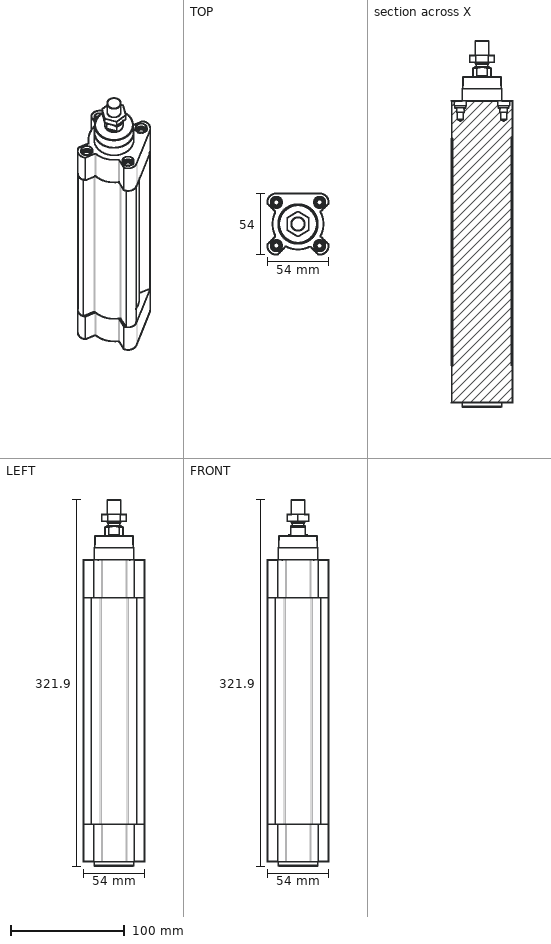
import cadquery as cq
import math

total_height = 321.9
spigot_height = 4.0
cap_height = 33.0
tube_height = 199.0
tube_bottom = spigot_height + cap_height
tube_top = tube_bottom + tube_height
body_top = tube_top + cap_height

body_width = 54.0
screw_pitch = 38.0
barrel_radius = 22.5
corner_center = screw_pitch / 2
corner_radius = (body_width - screw_pitch) / 2
cap_lobe_width = 12.8
tube_lobe_width = 9.9
tube_inset = 0.15
root_fillet = 0.8

spigot_diameter = 35.0
spigot_chamfer = 0.8
collar_lower_height = 10.8
collar_upper_height = 10.3
collar_upper_base_diameter = 34.2
collar_upper_top_diameter = 33.6
collar_edge_chamfer = 0.4
collar_step = body_top + collar_lower_height
collar_top = collar_step + collar_upper_height

counterbore_diameter = 10.2
counterbore_depth = 4.0
seat_diameter = 9.0
seat_depth = 6.0
socket_diameter = 6.0
socket_depth = 10.0
core_diameter = 4.92
core_depth = 16.0
drill_tip_angle = 118.0

rod_diameter = 16.0
rod_flat_width = 13.0
rod_collar_height = 1.2
thread_diameter = 12.0
thread_end_chamfer = 0.3
thread_length = 19.8
threaded_end_length = 24.2
neck_diameter = 10.2
neck_taper_height = 1.0
shoulder_height = 1.4
shoulder_top_diameter = 11.45
rod_bottom = tube_top
thread_bottom = total_height - thread_length
shoulder_bottom = total_height - threaded_end_length
neck_bottom = shoulder_bottom + shoulder_height
flat_bottom = collar_top + rod_collar_height

nut_across_flats = 19.0
nut_height = 6.0
nut_to_rod_end = 12.9
nut_top = total_height - nut_to_rod_end
nut_bottom = nut_top - nut_height


def cylinder(diameter, bottom, height):
    return cq.Workplane("XY").workplane(offset=bottom).circle(diameter / 2).extrude(height)


def box_along(angle, length, width, bottom, height):
    """Rectangular bar centred on the axis, its length turned by the angle."""
    bar = cq.Workplane("XY").workplane(offset=bottom).rect(length, width).extrude(height)
    return bar.rotate((0, 0, 0), (0, 0, 1), angle)


def lobed_section(radius, lobe_radius, lobe_width, bottom, height):
    """Round barrel with four diagonal lobes that end in round corners."""
    section = cylinder(2 * radius, bottom, height)
    lobe_ends = (
        cq.Workplane("XY").workplane(offset=bottom)
        .rect(screw_pitch, screw_pitch, forConstruction=True).vertices()
        .circle(lobe_radius).extrude(height)
    )
    center_distance = corner_center * math.sqrt(2)
    for angle in (45, 135):
        inner_bar = box_along(angle, 2 * center_distance, lobe_width, bottom, height)
        full_bar = box_along(angle, 2 * (center_distance + lobe_radius), lobe_width, bottom, height)
        section = section.union(inner_bar).union(full_bar.intersect(lobe_ends))
    root_edges = [
        edge for edge in section.edges("|Z").vals()
        if math.hypot(edge.Center().x, edge.Center().y) < radius + root_fillet
    ]
    return section.newObject(root_edges).fillet(root_fillet)


def end_cap(bottom):
    """Lobed cap whose +Y side is filled out to a flat face."""
    cap = lobed_section(barrel_radius, corner_radius, cap_lobe_width, bottom, cap_height)
    flat_side = (
        cq.Workplane("XY").workplane(offset=bottom)
        .center(0, body_width / 4).rect(screw_pitch, body_width / 2).extrude(cap_height)
    )
    return cap.union(flat_side)


def screw_hole():
    """Stepped blind hole with a conical drill tip, opening upward at z = 0."""
    core_radius = core_diameter / 2
    tip_depth = core_depth + core_radius / math.tan(math.radians(drill_tip_angle / 2))
    return (
        cq.Workplane("XZ")
        .moveTo(0, 0)
        .lineTo(counterbore_diameter / 2, 0)
        .lineTo(counterbore_diameter / 2, -counterbore_depth)
        .lineTo(seat_diameter / 2, -counterbore_depth)
        .lineTo(seat_diameter / 2, -seat_depth)
        .lineTo(socket_diameter / 2, -seat_depth)
        .lineTo(socket_diameter / 2, -socket_depth)
        .lineTo(core_radius, -socket_depth)
        .lineTo(core_radius, -core_depth)
        .lineTo(0, -tip_depth)
        .close()
        .revolve(360, (0, 0, 0), (0, 1, 0))
    )


def front_collar():
    """Round collar around the rod, its slightly tapered upper part set back by a small step."""
    upper = (
        cq.Workplane("XY").workplane(offset=collar_step)
        .circle(collar_upper_base_diameter / 2)
        .workplane(offset=collar_upper_height)
        .circle(collar_upper_top_diameter / 2)
        .loft()
        .faces(">Z").chamfer(collar_edge_chamfer)
    )
    return cylinder(spigot_diameter, body_top, collar_lower_height).union(upper)


def make_housing():
    tube = lobed_section(
        barrel_radius - tube_inset, corner_radius - tube_inset, tube_lobe_width, tube_bottom, tube_height
    )
    spigot = cylinder(spigot_diameter, 0, spigot_height).faces("<Z").chamfer(spigot_chamfer)
    housing = tube.union(end_cap(spigot_height)).union(end_cap(tube_top))
    housing = housing.union(spigot).union(front_collar())
    for x in (-corner_center, corner_center):
        for y in (-corner_center, corner_center):
            housing = housing.cut(screw_hole().translate((x, y, body_top)))
    return housing.cut(cylinder(rod_diameter, rod_bottom, collar_top - rod_bottom))


def make_rod():
    """Piston rod with a threaded end, a runout neck and two wrench flats on the X sides."""
    rod = (
        cq.Workplane("XZ")
        .moveTo(0, rod_bottom)
        .lineTo(rod_diameter / 2, rod_bottom)
        .lineTo(rod_diameter / 2, shoulder_bottom)
        .lineTo(shoulder_top_diameter / 2, neck_bottom)
        .lineTo(neck_diameter / 2, neck_bottom)
        .lineTo(neck_diameter / 2, thread_bottom - neck_taper_height)
        .lineTo(thread_diameter / 2, thread_bottom)
        .lineTo(thread_diameter / 2, total_height)
        .lineTo(0, total_height)
        .close()
        .revolve(360, (0, 0, 0), (0, 1, 0))
        .faces(">Z").chamfer(thread_end_chamfer)
    )
    side_depth = (rod_diameter - rod_flat_width) / 2
    flat_height = neck_bottom - flat_bottom
    for side in (-1, 1):
        flat_cut = (
            cq.Workplane("XY").workplane(offset=flat_bottom)
            .center(side * (rod_flat_width + side_depth) / 2, 0)
            .rect(side_depth, rod_diameter).extrude(flat_height)
        )
        rod = rod.cut(flat_cut)
    return rod


def make_nut():
    return (
        cq.Workplane("XY").workplane(offset=nut_bottom)
        .polygon(6, nut_across_flats, circumscribed=True)
        .circle(thread_diameter / 2)
        .extrude(nut_height)
    )


housing = make_housing()
rod = make_rod()
nut = make_nut()
result = cq.Compound.makeCompound([housing.val(), rod.val(), nut.val()])